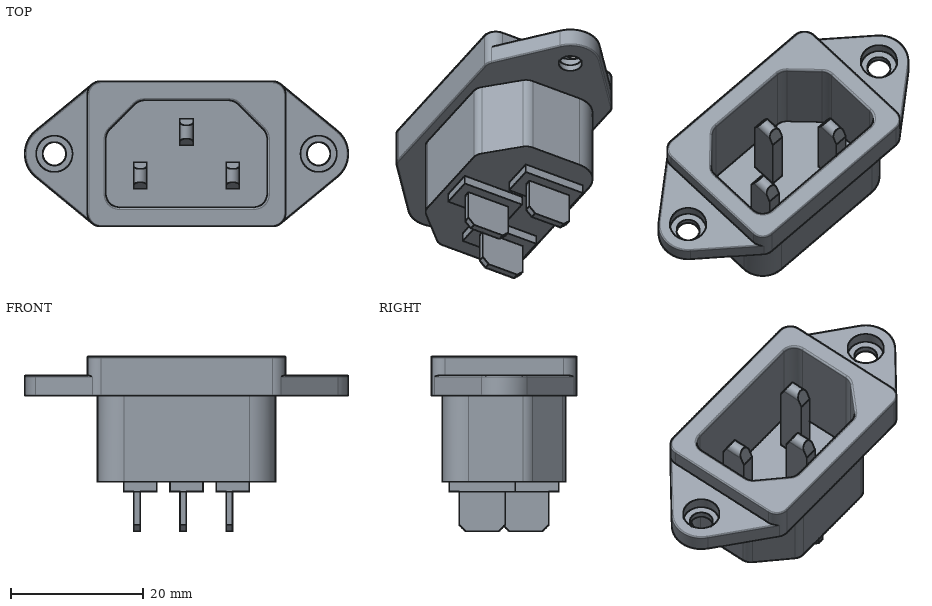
import cadquery as cq
import math


RIM_LENGTH = 30.0
RIM_WIDTH = 22.0
RIM_HEIGHT = 6.0
RIM_CORNER_RADIUS = 2.0
EAR_THICKNESS = 3.1
EAR_RADIUS = 4.5
EDGE_FILLET = 0.2

SCREW_OFFSET = 20.0
SCREW_HOLE_DIAMETER = 3.5
SCREW_HEAD_DIAMETER = 5.5
SCREW_HEAD_DEPTH = 2.0

SOCKET_LENGTH = 24.4
SOCKET_WIDTH = 16.15
SOCKET_BEVEL = 4.95
SOCKET_CORNER_RADIUS = 2.0
MOUTH_FILLET = 0.3
HOUSING_DEPTH = 13.0
HOUSING_WALL = 1.3
HOUSING_FLOOR = 2.0
HOUSING_CORNER_RADIUS = 4.0
BEVEL_CORNER_RADIUS = 2.0

CONTACT_SPACING = 7.0
CONTACT_STAGGER = 3.3
PIN_THICKNESS = 2.0
PIN_WIDTH = 4.0
PIN_TOP = 4.0
PIN_TIP_SETBACK = 1.0
PIN_TIP_HEIGHT = 2.2
BASE_LENGTH = 5.0
BASE_WIDTH = 10.0
BASE_HEIGHT = 1.5
BLADE_THICKNESS = 1.0
BLADE_WIDTH = 7.0
BLADE_LENGTH = 6.0
BLADE_CHAMFER = 1.0

HOUSING_BOTTOM = -HOUSING_DEPTH
SOCKET_FLOOR = HOUSING_BOTTOM + HOUSING_FLOOR
BASE_BOTTOM = HOUSING_BOTTOM - BASE_HEIGHT
CONTACT_POSITIONS = [
    (-CONTACT_SPACING, -CONTACT_STAGGER),
    (0, CONTACT_STAGGER),
    (CONTACT_SPACING, -CONTACT_STAGGER),
]


def beveled_prism(length, width, bevel, corner_radius, bevel_radius, bottom, top):
    """Upright block with its two +Y corners beveled at 45 degrees and every vertical edge rounded."""
    x = length / 2
    y = width / 2
    outline = [(-x, -y), (x, -y), (x, y - bevel), (x - bevel, y), (bevel - x, y), (-x, y - bevel)]
    block = cq.Workplane("XY").workplane(offset=bottom).polyline(outline).close().extrude(top - bottom)
    block = block.edges("|Z and <Y").fillet(corner_radius)
    for x_side in (-1, 1):
        for corner_x, corner_y in ((x, y - bevel), (x - bevel, y)):
            corner = (x_side * corner_x, corner_y, (bottom + top) / 2)
            block = block.edges(cq.selectors.NearestToPointSelector(corner)).fillet(bevel_radius)
    return block


def make_flange():
    """Ear plate whose sides run tangent to the ear ends and to the rim corners."""
    corner_x = RIM_LENGTH / 2 - RIM_CORNER_RADIUS
    corner_y = RIM_WIDTH / 2 - RIM_CORNER_RADIUS
    run = SCREW_OFFSET - corner_x
    radius_step = EAR_RADIUS - RIM_CORNER_RADIUS
    center_line = math.atan2(corner_y, -run)
    normal = center_line - math.acos(radius_step / math.hypot(run, corner_y))
    nx = math.cos(normal)
    ny = math.sin(normal)
    ear_x = SCREW_OFFSET + EAR_RADIUS * nx
    ear_y = EAR_RADIUS * ny
    tangent_x = corner_x + RIM_CORNER_RADIUS * nx
    tangent_y = corner_y + RIM_CORNER_RADIUS * ny
    arc_middle = (normal + math.pi / 2) / 2
    mid_x = corner_x + RIM_CORNER_RADIUS * math.cos(arc_middle)
    mid_y = corner_y + RIM_CORNER_RADIUS * math.sin(arc_middle)
    tip_x = SCREW_OFFSET + EAR_RADIUS
    rim_y = RIM_WIDTH / 2
    outline = (
        cq.Workplane("XY")
        .moveTo(-corner_x, rim_y)
        .lineTo(corner_x, rim_y)
        .threePointArc((mid_x, mid_y), (tangent_x, tangent_y))
        .lineTo(ear_x, ear_y)
        .threePointArc((tip_x, 0), (ear_x, -ear_y))
        .lineTo(tangent_x, -tangent_y)
        .threePointArc((mid_x, -mid_y), (corner_x, -rim_y))
        .lineTo(-corner_x, -rim_y)
        .threePointArc((-mid_x, -mid_y), (-tangent_x, -tangent_y))
        .lineTo(-ear_x, -ear_y)
        .threePointArc((-tip_x, 0), (-ear_x, ear_y))
        .lineTo(-tangent_x, tangent_y)
        .threePointArc((-mid_x, mid_y), (-corner_x, rim_y))
        .close()
    )
    plate = outline.extrude(EAR_THICKNESS)
    return plate.faces("<Z or >Z").edges().fillet(EDGE_FILLET)


def make_rim():
    """Raised frame; it starts inside the flange so that the flange keeps its lower rounding."""
    start = EAR_THICKNESS / 2
    rim = cq.Workplane("XY").workplane(offset=start).rect(RIM_LENGTH, RIM_WIDTH).extrude(RIM_HEIGHT - start)
    return rim.edges("|Z").fillet(RIM_CORNER_RADIUS).faces(">Z").edges().fillet(EDGE_FILLET)


def make_housing():
    """Block below the flange, one wall thickness larger than the socket on every side."""
    bevel = SOCKET_BEVEL + HOUSING_WALL * (2 - math.sqrt(2))
    return beveled_prism(
        SOCKET_LENGTH + 2 * HOUSING_WALL,
        SOCKET_WIDTH + 2 * HOUSING_WALL,
        bevel,
        HOUSING_CORNER_RADIUS,
        BEVEL_CORNER_RADIUS,
        HOUSING_BOTTOM,
        EAR_THICKNESS,
    )


def cut_socket(body):
    """Beveled socket open at the top of the rim, with a rounded mouth edge."""
    socket = beveled_prism(
        SOCKET_LENGTH,
        SOCKET_WIDTH,
        SOCKET_BEVEL,
        SOCKET_CORNER_RADIUS,
        BEVEL_CORNER_RADIUS,
        SOCKET_FLOOR,
        RIM_HEIGHT,
    )
    body = body.cut(socket)
    box_x = (SOCKET_LENGTH + RIM_LENGTH) / 4
    box_y = (SOCKET_WIDTH + RIM_WIDTH) / 4
    mouth = cq.selectors.BoxSelector(
        (-box_x, -box_y, RIM_HEIGHT - EAR_THICKNESS),
        (box_x, box_y, RIM_HEIGHT + EAR_THICKNESS),
    )
    return body.faces(">Z").edges(mouth).fillet(MOUTH_FILLET)


def cut_screw_holes(body):
    """Through holes in the ears, counterbored from above for the screw heads."""
    ear_top = body.copyWorkplane(cq.Workplane("XY", origin=(0, 0, EAR_THICKNESS)))
    holes = ear_top.pushPoints([(-SCREW_OFFSET, 0), (SCREW_OFFSET, 0)])
    return holes.cboreHole(SCREW_HOLE_DIAMETER, SCREW_HEAD_DIAMETER, SCREW_HEAD_DEPTH)


def make_pin():
    """Flat pin rounded across its thickness at the top, with both ends sloped at the tip."""
    x = PIN_THICKNESS / 2
    y = PIN_WIDTH / 2
    round_start = PIN_TOP - x
    rounded = (
        cq.Workplane("XZ")
        .moveTo(-x, HOUSING_BOTTOM)
        .lineTo(x, HOUSING_BOTTOM)
        .lineTo(x, round_start)
        .threePointArc((0, PIN_TOP), (-x, round_start))
        .close()
        .extrude(y, both=True)
    )
    slope_start = PIN_TOP - PIN_TIP_HEIGHT
    tip_y = y - PIN_TIP_SETBACK
    side_outline = [
        (-y, HOUSING_BOTTOM),
        (y, HOUSING_BOTTOM),
        (y, slope_start),
        (tip_y, PIN_TOP),
        (-tip_y, PIN_TOP),
        (-y, slope_start),
    ]
    tapered = cq.Workplane("YZ").polyline(side_outline).close().extrude(x, both=True)
    return rounded.intersect(tapered)


def make_contact():
    """Pin, base and blade around the contact's own axis; the blade is flush with the pin's -X face."""
    base_plane = cq.Workplane("XY").workplane(offset=BASE_BOTTOM)
    base = base_plane.rect(BASE_LENGTH, BASE_WIDTH).extrude(BASE_HEIGHT)
    blade = (
        cq.Workplane("XY")
        .workplane(offset=BASE_BOTTOM - BLADE_LENGTH)
        .center((BLADE_THICKNESS - PIN_THICKNESS) / 2, 0)
        .rect(BLADE_THICKNESS, BLADE_WIDTH)
        .extrude(BLADE_LENGTH)
        .faces("<Z")
        .edges("|X")
        .chamfer(BLADE_CHAMFER)
    )
    return make_pin().union(base).union(blade)


result = make_flange().union(make_rim()).union(make_housing())
result = cut_socket(result)
result = cut_screw_holes(result)
for contact_x, contact_y in CONTACT_POSITIONS:
    result = result.union(make_contact().translate((contact_x, contact_y, 0)))